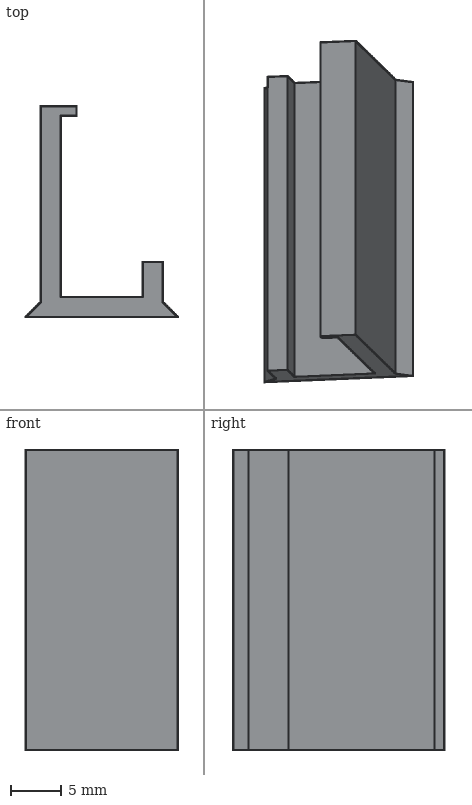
import cadquery as cq

base_width = 15.2
depth = 21.1
height = 30.0

wall = 2.0
flare = 1.5
short_wall_depth = 5.52
lip_reach = 3.6
lip_thickness = 1.0

base_right = base_width / 2
base_left = -base_right
body_left = base_left + flare
body_right = base_right - flare

profile = [
    (base_left, 0),
    (base_right, 0),
    (body_right, flare),
    (body_right, short_wall_depth),
    (body_right - wall, short_wall_depth),
    (body_right - wall, wall),
    (body_left + wall, wall),
    (body_left + wall, depth - lip_thickness),
    (body_left + lip_reach, depth - lip_thickness),
    (body_left + lip_reach, depth),
    (body_left, depth),
    (body_left, flare),
]

result = cq.Workplane("XY").polyline(profile).close().extrude(height)